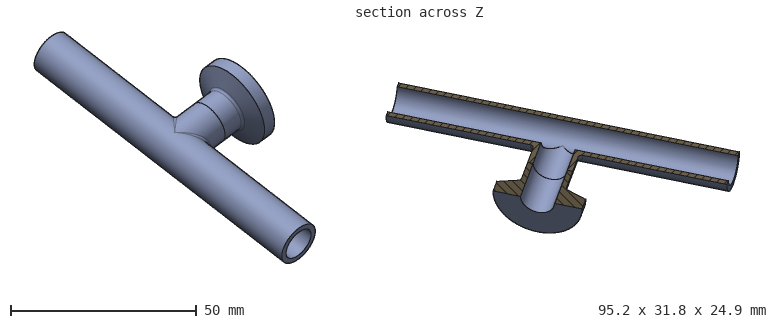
import cadquery as cq
import math

run_length = 95.2
tube_diameter = 12.7
bore_diameter = 9.4
tube_radius = tube_diameter / 2
bore_radius = bore_diameter / 2

face_offset = 25.4
ferrule_length = 12.7
branch_length = face_offset - ferrule_length
crotch_fillet = 0.95

flange_diameter = 24.9
flange_radius = flange_diameter / 2
rim_thickness = 3.8
cone_angle = 20.0
neck_fillet = 0.9


def run_cylinder(radius):
    """Cylinder along X, centred on the origin."""
    return cq.Workplane("YZ").circle(radius).extrude(run_length / 2, both=True)


def branch_cylinder(radius):
    """Cylinder along +Y from the run axis to the joint with the ferrule."""
    return cq.Workplane("XZ").circle(radius).extrude(-branch_length)


def make_tee():
    outside = run_cylinder(tube_radius).union(branch_cylinder(tube_radius))
    crotches = outside.edges("%ELLIPSE")
    filleted = crotches.fillet(crotch_fillet)
    return filleted.cut(run_cylinder(bore_radius)).cut(branch_cylinder(bore_radius))


def make_ferrule():
    cone_base_y = face_offset - rim_thickness
    cone_depth = (flange_radius - tube_radius) * math.tan(math.radians(cone_angle))
    cone_tip_y = cone_base_y - cone_depth
    outside = (
        cq.Workplane("XY")
        .moveTo(0, branch_length)
        .lineTo(tube_radius, branch_length)
        .lineTo(tube_radius, cone_tip_y)
        .lineTo(flange_radius, cone_base_y)
        .lineTo(flange_radius, face_offset)
        .lineTo(0, face_offset)
        .close()
        .revolve(360, (0, 0, 0), (0, 1, 0))
    )
    neck_corner = cq.selectors.NearestToPointSelector((0, cone_tip_y, 0))
    blended = outside.edges("%CIRCLE").edges(neck_corner).fillet(neck_fillet)
    bore = (
        cq.Workplane("XZ", origin=(0, branch_length, 0))
        .circle(bore_radius)
        .extrude(-ferrule_length)
    )
    return blended.cut(bore)


tee = make_tee()
ferrule = make_ferrule()

result = cq.Compound.makeCompound([tee.solids().val(), ferrule.solids().val()])